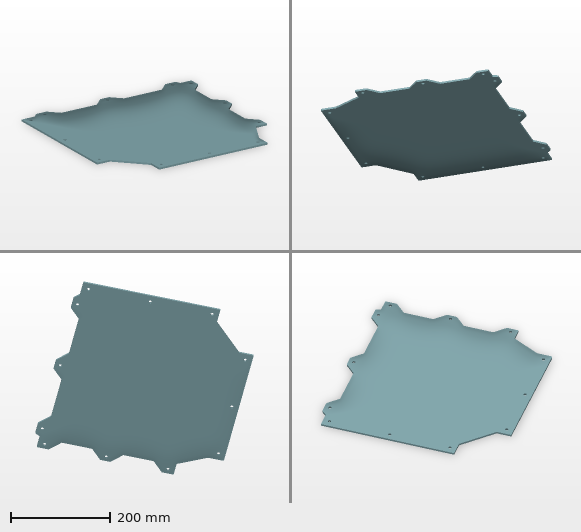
import cadquery as cq

length_x = 385.0
length_y = 405.2
thickness = 4.0
hole_diameter = 6.5

body_left = 10.5
body_width = 283.5
body_right = body_left + body_width
body_center = body_left + body_width / 2
body_side_low = 31.0
body_side_high = 379.0

tab_height = 22.0
tab_run = tab_height
mid_tab_half = 10.5
corner_tab_width = 24.7
top_edge = length_y - tab_height
left_edge = tab_height

lower_tab_bottom = 40.5
lower_tab_top = 65.5
left_mid_y = 204.5
upper_tab_bottom = 349.5
upper_tab_top = 374.0

wing_bottom = 90.8
wing_top = 349.7
wing_bottom_start = body_right + wing_bottom - body_side_low
wing_top_start = 352.5
wing_corner_radius = 2.0

hole_margin = 14.0
row_end_margin = 13.8
top_hole_margin = 9.7
left_hole_x = 11.5
right_hole_x = length_x - hole_margin
left_hole_ys = (54.7, left_mid_y, 360.3)


def make_plate():
    """Flat plate following the tabbed outline, counter-clockwise from the lower left."""
    outline = [
        (body_left, 0),
        (body_right, 0),
        (body_right, body_side_low),
        (wing_bottom_start, wing_bottom),
        (length_x, wing_bottom),
        (length_x, wing_top),
        (wing_top_start, wing_top),
        (body_right, body_side_high),
        (body_right, length_y),
        (body_right - corner_tab_width, length_y),
        (body_right - corner_tab_width - tab_run, top_edge),
        (body_center + mid_tab_half + tab_run, top_edge),
        (body_center + mid_tab_half, length_y),
        (body_center - mid_tab_half, length_y),
        (body_center - mid_tab_half - tab_run, top_edge),
        (body_left + corner_tab_width + tab_run, top_edge),
        (body_left + corner_tab_width, length_y),
        (body_left, length_y),
        (body_left, body_side_high),
        (0, upper_tab_top),
        (0, upper_tab_bottom),
        (left_edge, upper_tab_bottom - tab_run),
        (left_edge, left_mid_y + mid_tab_half + tab_run),
        (0, left_mid_y + mid_tab_half),
        (0, left_mid_y - mid_tab_half),
        (left_edge, left_mid_y - mid_tab_half - tab_run),
        (left_edge, lower_tab_top + tab_run),
        (0, lower_tab_top),
        (0, lower_tab_bottom),
        (body_left, body_side_low),
    ]
    plate = cq.Workplane("XY").polyline(outline).close().extrude(thickness)
    wing_corner = cq.selectors.NearestToPointSelector((length_x, wing_top, thickness / 2))
    return plate.edges("|Z").edges(wing_corner).fillet(wing_corner_radius)


def hole_centers():
    """Three holes along each side of the plate."""
    row_xs = (body_left + row_end_margin, body_center, body_right - row_end_margin)
    wing_ys = (wing_bottom + hole_margin, (wing_bottom + wing_top) / 2, wing_top - hole_margin)
    bottom_row = [(x, hole_margin) for x in row_xs]
    top_row = [(x, length_y - top_hole_margin) for x in row_xs]
    left_row = [(left_hole_x, y) for y in left_hole_ys]
    right_row = [(right_hole_x, y) for y in wing_ys]
    return bottom_row + top_row + left_row + right_row


result = make_plate().faces(">Z").workplane(origin=(0, 0, 0)).pushPoints(hole_centers()).hole(hole_diameter)